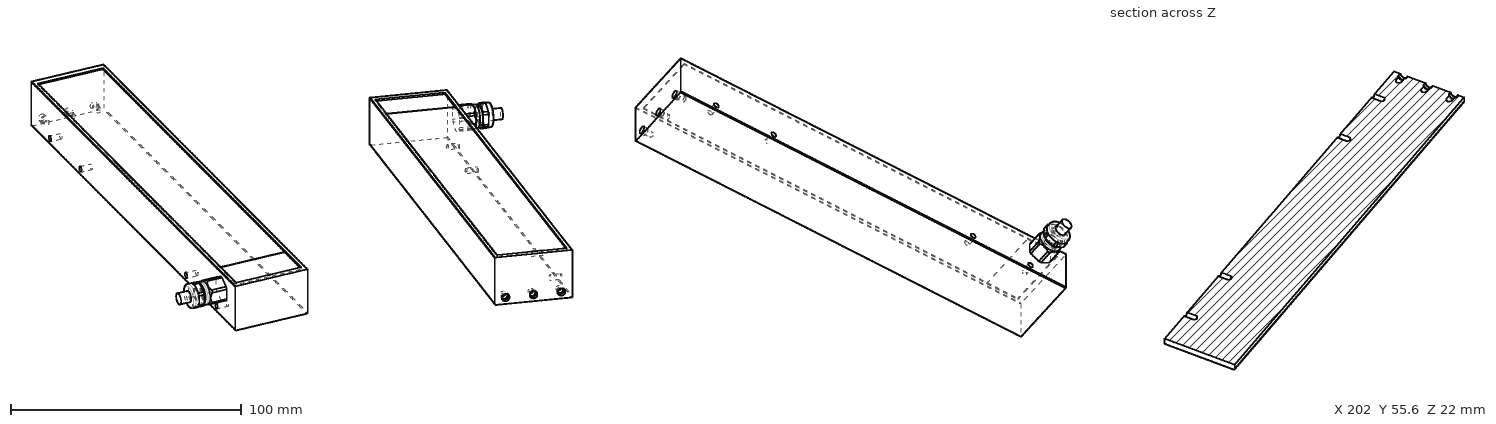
import cadquery as cq
import math

LENGTH = 202.0
WIDTH = 35.0
HEIGHT = 22.0
TOP_CHAMFER = 0.2
BOTTOM_CHAMFER = 0.5

END_MARGIN = 2.8
SIDE_MARGIN = 1.8
WINDOW_DEPTH = 0.6
SHORT_PANEL_LENGTH = 16.4
PANEL_STEP = 0.2

HOLE_DIAMETER = 2.5
HOLE_DEPTH = 5.0
HOLE_HEIGHT = 3.0
DRILL_POINT_ANGLE = 118.0
SIDE_HOLE_INSET = 18.5
SIDE_HOLE_PITCH = 30.0
END_HOLE_PITCH = 12.5
END_BORE_DIAMETER = 3.5
END_BORE_DEPTH = 2.0

GLAND_X = 188.3
GLAND_Z = 14.0
HEX_SIDES = 6
HEX_FLATS = 10.7
HEX_ROUND_DIAMETER = 11.7
HEX_CHAMFER_LENGTH = 1.0
BODY_HEX_END = 7.9
SEAL_DIAMETER = 10.5
SEAL_FILLET = 0.6
SEAL_END = 9.7
NECK_DIAMETER = 8.7
NUT_START = 11.0
NUT_HEX_END = 13.3
NUT_RING_DIAMETER = 11.0
NUT_RING_FILLET = 0.8
NUT_END = 15.8
CABLE_DIAMETER = 5.0
CABLE_END = 20.6


def make_housing():
    box = cq.Workplane("XY").box(LENGTH, WIDTH, HEIGHT, centered=False)
    box = box.edges("|X and >Z").chamfer(TOP_CHAMFER)
    return box.edges("|X and <Z").chamfer(BOTTOM_CHAMFER)


def make_window():
    """Cutter for the window, slightly deeper over the short panel."""
    inner_length = LENGTH - 2 * END_MARGIN
    inner_width = WIDTH - 2 * SIDE_MARGIN
    window = (
        cq.Workplane("XY")
        .box(inner_length, inner_width, WINDOW_DEPTH, centered=False)
        .translate((END_MARGIN, SIDE_MARGIN, HEIGHT - WINDOW_DEPTH))
    )
    short_depth = WINDOW_DEPTH + PANEL_STEP
    short_start = LENGTH - END_MARGIN - SHORT_PANEL_LENGTH
    short_panel = (
        cq.Workplane("XY")
        .box(SHORT_PANEL_LENGTH, inner_width, short_depth, centered=False)
        .translate((short_start, SIDE_MARGIN, HEIGHT - short_depth))
    )
    return window.union(short_panel)


def make_drilling(mouth_diameter):
    """Drilling along +Y from the origin, counterbored when the mouth is wider than the hole."""
    radius = HOLE_DIAMETER / 2
    mouth_radius = mouth_diameter / 2
    point_length = radius / math.tan(math.radians(DRILL_POINT_ANGLE / 2))
    profile = cq.Workplane("XY").lineTo(mouth_radius, 0)
    if mouth_radius > radius:
        profile = profile.lineTo(mouth_radius, END_BORE_DEPTH).lineTo(radius, END_BORE_DEPTH)
    profile = profile.lineTo(radius, HOLE_DEPTH).lineTo(0, HOLE_DEPTH + point_length).close()
    return profile.revolve(360, (0, 0, 0), (0, 1, 0))


def drill_holes(housing):
    side_drilling = make_drilling(HOLE_DIAMETER)
    inner_inset = SIDE_HOLE_INSET + SIDE_HOLE_PITCH
    for x in (SIDE_HOLE_INSET, inner_inset, LENGTH - inner_inset, LENGTH - SIDE_HOLE_INSET):
        housing = housing.cut(side_drilling.translate((x, 0, HOLE_HEIGHT)))

    end_drilling = make_drilling(END_BORE_DIAMETER).rotate((0, 0, 0), (0, 0, 1), -90)
    for offset in (-END_HOLE_PITCH, 0, END_HOLE_PITCH):
        housing = housing.cut(end_drilling.translate((0, WIDTH / 2 + offset, HOLE_HEIGHT)))
    return housing


def make_round(profile):
    """Turned solid about the gland axis from (station, diameter) pairs."""
    points = [(diameter / 2, station) for station, diameter in profile]
    points = [(0, profile[0][0])] + points + [(0, profile[-1][0])]
    return cq.Workplane("XY").polyline(points).close().revolve(360, (0, 0, 0), (0, 1, 0))


def make_hex(start, end):
    """Hexagonal prism on the gland axis with two flats facing +X and -X."""
    across_corners = HEX_FLATS / math.cos(math.pi / HEX_SIDES)
    return (
        cq.Workplane("XZ")
        .polygon(HEX_SIDES, across_corners)
        .extrude(start - end)
        .rotate((0, 0, 0), (0, 1, 0), 180 / HEX_SIDES)
        .translate((0, start, 0))
    )


def make_gland():
    """Gland built along +Y from the origin, then turned to point along -Y."""
    body_limit = make_round([
        (0, HEX_ROUND_DIAMETER),
        (BODY_HEX_END - HEX_CHAMFER_LENGTH, HEX_ROUND_DIAMETER),
        (BODY_HEX_END, SEAL_DIAMETER),
    ])
    body = make_hex(0, BODY_HEX_END).intersect(body_limit)
    nut_limit = make_round([(NUT_START, HEX_ROUND_DIAMETER), (NUT_HEX_END, HEX_ROUND_DIAMETER)])
    nut = make_hex(NUT_START, NUT_HEX_END).intersect(nut_limit)
    seal = make_round([(0, SEAL_DIAMETER), (SEAL_END, SEAL_DIAMETER)])
    seal = seal.faces(">Y").edges().fillet(SEAL_FILLET)
    ring = make_round([(NUT_HEX_END, NUT_RING_DIAMETER), (NUT_END, NUT_RING_DIAMETER)])
    ring = ring.faces(">Y").edges().fillet(NUT_RING_FILLET)
    core = make_round([
        (0, NECK_DIAMETER),
        (NUT_HEX_END, NECK_DIAMETER),
        (NUT_HEX_END, CABLE_DIAMETER),
        (CABLE_END, CABLE_DIAMETER),
    ])
    gland = core.union(body).union(seal).union(nut).union(ring)
    return gland.rotate((0, 0, 0), (0, 0, 1), 180).translate((GLAND_X, 0, GLAND_Z))


housing = drill_holes(make_housing().cut(make_window()))
result = housing.union(make_gland())